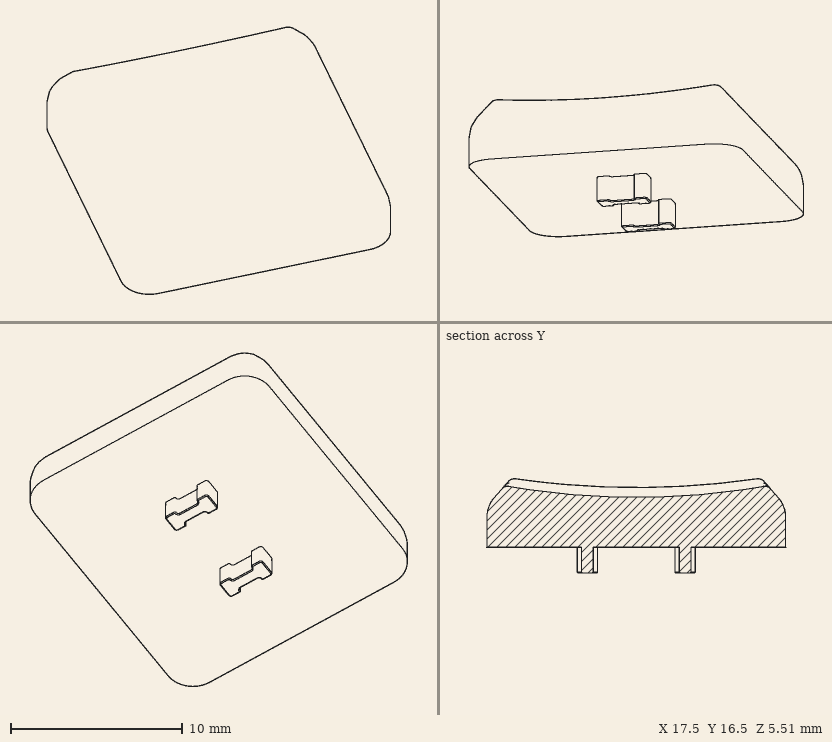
import cadquery as cq
import math

CAP_LENGTH = 17.45
CAP_WIDTH = 16.45
CORNER_RADIUS = 1.75
WALL_HEIGHT = 1.76
SHOULDER_RADIUS = 1.75
FLANK_ANGLE = 41.5
BLANK_HEIGHT = 4.3

DISH_RADIUS = 43.5
DISH_BOTTOM = 2.93
RIM_RADIUS = 0.4

STEM_SPACING = 5.7
STEM_THICKNESS = 1.2
STEM_WIDTH = 3.0
STEM_LENGTH = 1.5
STEM_CORNER_RADIUS = 0.17
STEM_TIP_CHAMFER = 0.06
GROOVE_WIDTH = 1.5
GROOVE_DEPTH = 0.25
GROOVE_CORNER_RADIUS = 0.17
GROOVE_LIP_RADIUS = 0.07

SELECTION_MARGIN = 0.01


def make_cap_blank():
    """Rounded block with a blended shoulder and sloped flanks."""
    flank_angle = math.radians(FLANK_ANGLE)
    flank_start = WALL_HEIGHT + SHOULDER_RADIUS * math.tan(flank_angle / 2)
    flank_height = BLANK_HEIGHT - flank_start
    flank_inset = flank_height * math.tan(flank_angle)

    blank = (
        cq.Workplane("XY")
        .rect(CAP_LENGTH, CAP_WIDTH)
        .extrude(BLANK_HEIGHT)
        .edges("|Z")
        .fillet(CORNER_RADIUS)
        .faces(">Z")
        .chamfer(flank_height, flank_inset)
    )
    shoulder = cq.selectors.BoxSelector(
        (-CAP_LENGTH, -CAP_WIDTH, flank_start - SELECTION_MARGIN),
        (CAP_LENGTH, CAP_WIDTH, flank_start + SELECTION_MARGIN),
    )
    return blank.edges(shoulder).fillet(SHOULDER_RADIUS)


def scoop_dish(cap):
    """Cut the spherical dish into the top and round its rim."""
    ball = (
        cq.Workplane("XY")
        .sphere(DISH_RADIUS)
        .rotate((0, 0, 0), (1, 0, 0), 90)
        .translate((0, 0, DISH_BOTTOM + DISH_RADIUS))
    )
    dish_centre = (0, 0, DISH_BOTTOM)
    dished = cap.cut(ball)
    return dished.faces(cq.selectors.NearestToPointSelector(dish_centre)).edges().fillet(RIM_RADIUS)


def make_stem():
    """Rounded post, centred on Z, with a shallow groove along each broad side."""
    stem = (
        cq.Workplane("XY")
        .rect(STEM_THICKNESS, STEM_WIDTH)
        .extrude(-STEM_LENGTH)
        .edges("|Z")
        .fillet(STEM_CORNER_RADIUS)
    )
    for side in (-1, 1):
        groove = (
            cq.Workplane("XY")
            .center(side * STEM_THICKNESS / 2, 0)
            .rect(2 * GROOVE_DEPTH, GROOVE_WIDTH)
            .extrude(-STEM_LENGTH)
            .edges("|Z")
            .fillet(GROOVE_CORNER_RADIUS)
        )
        stem = stem.cut(groove)
    for side_x in (-1, 1):
        for side_y in (-1, 1):
            lip = (side_x * STEM_THICKNESS / 2, side_y * GROOVE_WIDTH / 2, -STEM_LENGTH / 2)
            stem = stem.edges(cq.selectors.NearestToPointSelector(lip)).fillet(GROOVE_LIP_RADIUS)
    return stem.faces("<Z").chamfer(STEM_TIP_CHAMFER)


result = scoop_dish(make_cap_blank())
stem = make_stem()
for side in (-1, 1):
    result = result.union(stem.translate((side * STEM_SPACING / 2, 0, 0)))